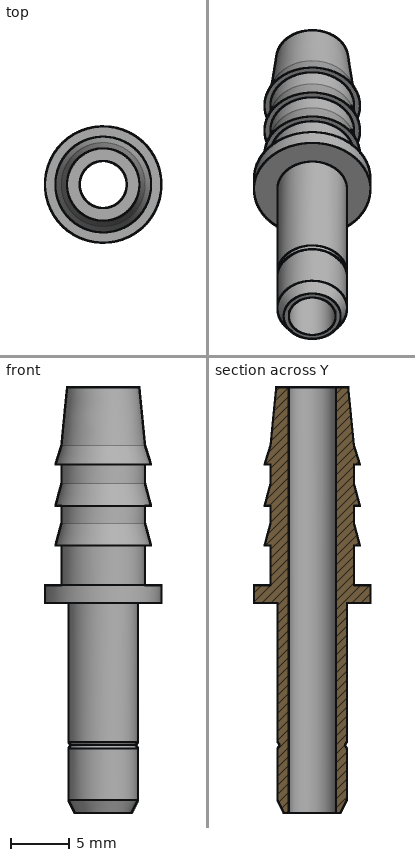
import cadquery as cq

total_length = 36.5
bore_diameter = 4.0

stem_radius = 6.0 / 2
stem_tip_radius = 4.9 / 2
stem_taper_height = 1.1

groove_bottom = 5.55
groove_width = 0.55
groove_depth = 0.2

flange_radius = 10.0 / 2
flange_bottom = 18.0
flange_thickness = 1.55
flange_top = flange_bottom + flange_thickness

neck_radius = 7.2 / 2
barb_radius = 8.2 / 2
mouth_radius = 6.2 / 2
lower_barb_base = 22.92
middle_barb_base = 26.3
top_barb_base = 29.85
barb_height = 1.9
top_barb_height = 1.65


def revolve_profile(points):
    """Turn a closed (radius, height) outline around the Z axis."""
    return cq.Workplane("XZ").polyline(points).close().revolve(360, (0, 0, 0), (0, 1, 0))


def make_stem():
    groove_top = groove_bottom + groove_width
    groove_middle = groove_bottom + groove_width / 2
    return revolve_profile([
        (0, 0),
        (stem_tip_radius, 0),
        (stem_radius, stem_taper_height),
        (stem_radius, groove_bottom),
        (stem_radius - groove_depth, groove_middle),
        (stem_radius, groove_top),
        (stem_radius, flange_bottom),
        (0, flange_bottom),
    ])


def make_flange():
    return cq.Workplane("XY", origin=(0, 0, flange_bottom)).circle(flange_radius).extrude(flange_thickness)


def make_barb(base, height):
    """Cone with a sharp lower edge, narrowing upward to the neck."""
    return revolve_profile([
        (0, base),
        (barb_radius, base),
        (neck_radius, base + height),
        (0, base + height),
    ])


def make_hose_tail():
    taper_start = top_barb_base + top_barb_height
    tail = revolve_profile([
        (0, flange_top),
        (neck_radius, flange_top),
        (neck_radius, taper_start),
        (mouth_radius, total_length),
        (0, total_length),
    ])
    for base, height in (
        (lower_barb_base, barb_height),
        (middle_barb_base, barb_height),
        (top_barb_base, top_barb_height),
    ):
        tail = tail.union(make_barb(base, height))
    return tail


bore = cq.Workplane("XY").circle(bore_diameter / 2).extrude(total_length)

result = make_stem().union(make_flange()).union(make_hose_tail()).cut(bore)